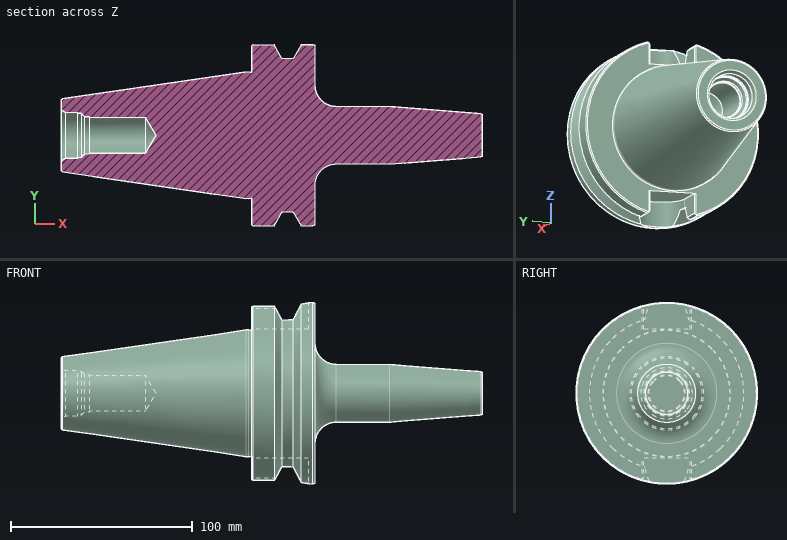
import cadquery as cq
import math

length = 231.8
gauge_x = 101.8
taper_end_x = gauge_x - 1.2
collar_end_x = 103.2
flange_back_x = 104.8
flange_front_x = 139.8
rear_rim_end_x = 117.3
groove_start_x = 121.5
groove_end_x = 127.7
front_rim_start_x = 132.1
nose_start_x = 180.8

gauge_radius = 35.0
taper_slope = 7 / 48
taper_small_radius = gauge_radius - gauge_x * taper_slope
collar_radius = 34.8
flange_radius = 100.0 / 2
groove_radius = 42.5
neck_radius = 16.0
nose_radius = 12.0
neck_fillet = 11.5

taper_chamfer = 0.7
rim_chamfer = 0.7
front_rim_chamfer = 1.5
front_rim_drop = 0.5
nose_chamfer = 1.2
nose_drop = 0.5

slot_width = 25.7
slot_floor = 35.5
slot_end_x = 136.0
slot_chamfer = 1.5
slot_mouth_chamfer = 0.7
slot_end_chamfer = 0.7

socket_mouth_radius = 14.1
socket_radius = 12.5
step_radius = 12.0
thread_radius = 10.2
drill_radius = 9.7
mouth_depth = 2.3
socket_depth = 9.0
step_depth = 11.1
thread_chamfer = 1.9
thread_end_x = 15.5
drill_end_x = 46.4
drill_half_angle = math.radians(59)


def body():
    """Taper, flange with gripper groove, neck and tapered nose as one revolve."""
    arc_x = flange_front_x + neck_fillet * (1 - math.cos(math.pi / 4))
    arc_radius = neck_radius + neck_fillet * (1 - math.sin(math.pi / 4))
    return (
        cq.Workplane("XY")
        .moveTo(0, 0)
        .lineTo(0, taper_small_radius - taper_chamfer)
        .lineTo(taper_chamfer, taper_small_radius + taper_chamfer * taper_slope)
        .lineTo(taper_end_x, taper_small_radius + taper_end_x * taper_slope)
        .lineTo(gauge_x, gauge_radius)
        .lineTo(collar_end_x, gauge_radius)
        .lineTo(flange_back_x, collar_radius)
        .lineTo(flange_back_x, flange_radius - rim_chamfer)
        .lineTo(flange_back_x + rim_chamfer, flange_radius)
        .lineTo(rear_rim_end_x, flange_radius)
        .lineTo(groove_start_x, groove_radius)
        .lineTo(groove_end_x, groove_radius)
        .lineTo(front_rim_start_x, flange_radius)
        .lineTo(flange_front_x - front_rim_chamfer, flange_radius)
        .lineTo(flange_front_x, flange_radius - front_rim_drop)
        .lineTo(flange_front_x, neck_radius + neck_fillet)
        .threePointArc((arc_x, arc_radius), (flange_front_x + neck_fillet, neck_radius))
        .lineTo(nose_start_x, neck_radius)
        .lineTo(length - nose_chamfer, nose_radius)
        .lineTo(length, nose_radius - nose_drop)
        .lineTo(length, 0)
        .close()
        .revolve(360, (0, 0, 0), (1, 0, 0))
    )


def drive_slot():
    """Flat-floored slot on the +Z side with a round end and chamfered mouth and rim edges."""
    half_width = slot_width / 2
    arc_center_x = slot_end_x - half_width
    slot = (
        cq.Workplane("XY", origin=(0, 0, slot_floor))
        .moveTo(flange_back_x, -half_width)
        .lineTo(arc_center_x, -half_width)
        .threePointArc((slot_end_x, 0), (arc_center_x, half_width))
        .lineTo(flange_back_x, half_width)
        .close()
        .extrude(flange_radius - slot_floor)
    )
    wide_half = half_width + slot_chamfer
    rim_z = math.sqrt(flange_radius**2 - wide_half**2)
    rim_cut = (
        cq.Workplane("YZ", origin=(flange_back_x, 0, 0))
        .polyline(
            [
                (-half_width, rim_z - slot_chamfer),
                (half_width, rim_z - slot_chamfer),
                (wide_half, rim_z),
                (wide_half, flange_radius),
                (-wide_half, flange_radius),
                (-wide_half, rim_z),
            ]
        )
        .close()
        .extrude(groove_start_x - flange_back_x)
    )
    mouth_half = half_width + slot_mouth_chamfer
    mouth_cut = (
        cq.Workplane("XY", origin=(0, 0, slot_floor))
        .polyline(
            [
                (flange_back_x, -mouth_half),
                (flange_back_x + slot_mouth_chamfer, -half_width),
                (flange_back_x + slot_mouth_chamfer, half_width),
                (flange_back_x, mouth_half),
            ]
        )
        .close()
        .extrude(flange_radius - slot_floor)
    )
    end_cut = cq.Workplane(
        cq.Solid.makeCone(
            half_width,
            half_width + slot_end_chamfer,
            slot_end_chamfer,
            pnt=cq.Vector(arc_center_x, 0, flange_radius - slot_end_chamfer),
        )
    )
    return slot.union(rim_cut).union(mouth_cut).union(end_cut)


def drawbar_socket():
    """Chamfered pilot bore, inner step, thread bore and conical drill point on the X axis."""
    drill_tip_x = drill_end_x + drill_radius / math.tan(drill_half_angle)
    return (
        cq.Workplane("XY")
        .moveTo(0, 0)
        .lineTo(0, socket_mouth_radius)
        .lineTo(mouth_depth, socket_radius)
        .lineTo(socket_depth, socket_radius)
        .lineTo(socket_depth, step_radius)
        .lineTo(step_depth, step_radius)
        .lineTo(step_depth + thread_chamfer, thread_radius)
        .lineTo(thread_end_x, thread_radius)
        .lineTo(thread_end_x, drill_radius)
        .lineTo(drill_end_x, drill_radius)
        .lineTo(drill_tip_x, 0)
        .close()
        .revolve(360, (0, 0, 0), (1, 0, 0))
    )


result = body().cut(drawbar_socket())
for slot_angle in (0, 180):
    result = result.cut(drive_slot().rotate((0, 0, 0), (1, 0, 0), slot_angle))